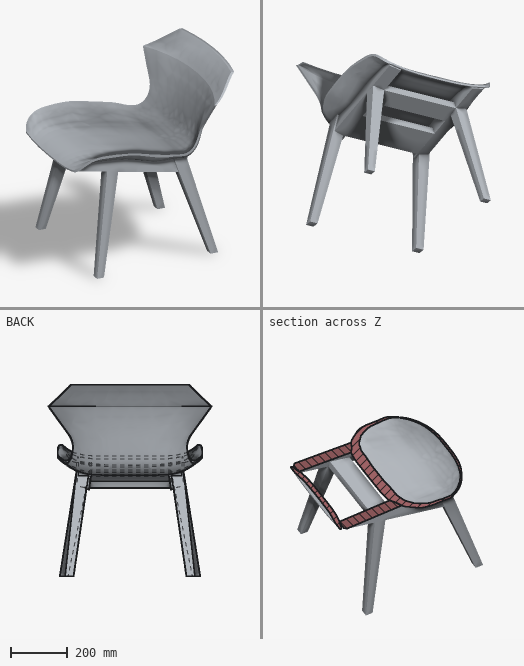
import cadquery as cq
import math

WIDTH = 573.32
DEPTH = 647.82
HEIGHT = 673.53
FRONT = -DEPTH / 2
BACK = DEPTH / 2

SHELL_THICKNESS = 9.0
TOP_HALF_WIDTH = 208.0
TOP_EDGE_THICKNESS = 12.0
LIP_THICKNESS = 6.0
EAR_HEIGHT = 597.0
SECTION_SAMPLES = 12

SEAT_LIP = (186.0, (FRONT, 407.0), (FRONT, 391.0), 3.0, LIP_THICKNESS)
EAR = (WIDTH / 2, (182.0, EAR_HEIGHT), (252.0, EAR_HEIGHT), 2.2, SHELL_THICKNESS)
BACK_TOP = (TOP_HALF_WIDTH, (286.0, HEIGHT), (BACK - TOP_EDGE_THICKNESS, HEIGHT), 2.0, TOP_EDGE_THICKNESS)

SEAT_STATIONS = [
    SEAT_LIP,
    (212.0, (-310.0, 424.0), (-310.0, 403.0), 3.5, 12.0),
    (228.0, (-285.0, 446.0), (-285.0, 415.0), 4.5, 10.0),
    (237.0, (-240.0, 461.0), (-240.0, 423.0), 6.0, SHELL_THICKNESS),
    (246.0, (-170.0, 462.0), (-170.0, 418.0), 6.0, SHELL_THICKNESS),
    (254.0, (-70.0, 447.0), (-70.0, 399.0), 6.0, SHELL_THICKNESS),
    (253.0, (25.0, 425.0), (25.0, 381.0), 6.0, SHELL_THICKNESS),
    (237.0, (85.0, 410.0), (90.0, 370.0), 5.0, SHELL_THICKNESS),
    (213.0, (132.0, 413.0), (152.0, 366.0), 5.0, SHELL_THICKNESS),
    (203.0, (154.0, 437.0), (196.0, 389.0), 3.2, SHELL_THICKNESS),
    (201.0, (165.0, 464.0), (213.0, 430.0), 2.6, SHELL_THICKNESS),
    (224.0, (174.0, 512.0), (226.0, 504.0), 2.3, SHELL_THICKNESS),
    (246.0, (176.0, 541.0), (234.0, 538.0), 2.2, SHELL_THICKNESS),
    (268.0, (179.0, 571.0), (243.0, 570.0), 2.2, SHELL_THICKNESS),
    EAR,
]
BACK_STATIONS = [
    EAR,
    (277.0, (200.0, 606.0), (257.0, 606.0), 2.2, SHELL_THICKNESS),
    (242.0, (244.0, 639.0), (278.0, 639.0), 2.1, 11.0),
    BACK_TOP,
]

FRAME_RISE = math.radians(11.5)
FRAME_TILT = math.radians(8.5)
FRAME_OUTER_X = 188.5
FRAME_OUTER_Z = 337.5
RAIL_WIDTH = 44.5
RAIL_INNER_X = FRAME_OUTER_X - RAIL_WIDTH
RAIL_DROP = 9.0
RAIL_BLANK_HEIGHT = 150.0
RAIL_TIP_SETBACK = 8.0
RAIL_FRONT = -FRONT - RAIL_TIP_SETBACK
RAIL_REAR = -120.0
CROSSBAR_THICKNESS = 25.0
FRONT_BAR_SPAN = (112.0, 192.0)
REAR_BAR_SPAN = (-94.0, 32.0)

LEG_BLANK_TOP = 420.0
LEG_JOINT_Z = 368.0
FRONT_LEG_JOINT = (FRAME_OUTER_X, RAIL_INNER_X, -146.0, -190.0)
FRONT_LEG_FOOT = (247.0, 219.0, -230.5, -257.5)
REAR_LEG_JOINT = (FRAME_OUTER_X, RAIL_INNER_X, 122.0, 74.0)
REAR_LEG_FOOT = (228.0, 198.0, 225.5, 196.0)


def shell_section(station):
    """Closed planar outline of the shell at one station."""
    half_width, rim, middle, exponent, thickness = station
    lift = math.dist(rim, middle)
    along = ((rim[0] - middle[0]) / lift, (rim[1] - middle[1]) / lift)

    def point(fraction, drop):
        rise = lift * abs(fraction) ** exponent - drop
        return cq.Vector(half_width * fraction, middle[0] + along[0] * rise, middle[1] + along[1] * rise)

    fractions = [2 * i / SECTION_SAMPLES - 1 for i in range(SECTION_SAMPLES + 1)]
    inner = [point(f, 0) for f in fractions]
    outer = [point(f, thickness) for f in fractions]
    return cq.Wire.assembleEdges([
        cq.Edge.makeSpline(inner),
        cq.Edge.makeLine(inner[-1], outer[-1]),
        cq.Edge.makeSpline(outer[::-1]),
        cq.Edge.makeLine(outer[0], inner[0]),
    ])


def make_shell():
    """Seat and upper back lofts, joined into one skin across the crease between the ears."""
    skin = []
    for stations in (SEAT_STATIONS, BACK_STATIONS):
        loft = cq.Solid.makeLoft([shell_section(s) for s in stations])
        skin += loft.Faces()
    outside = [f for f in skin if not is_crease(f)]
    return cq.Workplane(cq.Solid.makeSolid(cq.Shell.makeShell(outside)))


def is_crease(face):
    """True for the flat end faces where the two shell lofts meet."""
    return face.geomType() == "PLANE" and math.isclose(face.Center().z, EAR_HEIGHT, abs_tol=0.1)


def lower_piece(body, cutter):
    """Cut the body and keep the piece under the cutter."""
    return body.cut(cutter).solids("<Z")


def leg_blank(joint, foot, side):
    """Straight tapered leg, extended past its joint to LEG_BLANK_TOP."""
    stretch = LEG_BLANK_TOP / LEG_JOINT_Z
    top = [f + (j - f) * stretch for j, f in zip(joint, foot)]

    def outline(corners, z):
        outer, inner, rear, front = corners
        return cq.Wire.makePolygon([
            cq.Vector(side * outer, rear, z),
            cq.Vector(side * inner, rear, z),
            cq.Vector(side * inner, front, z),
            cq.Vector(side * outer, front, z),
        ], close=True)

    return cq.Workplane(cq.Solid.makeLoft([outline(foot, 0), outline(top, LEG_BLANK_TOP)], True))


def frame_plane(distance):
    """Plane square to the rising frame; local Y is up, local Z is forward."""
    forward = cq.Vector(0, -math.cos(FRAME_RISE), math.sin(FRAME_RISE))
    origin = cq.Vector(0, 0, FRAME_OUTER_Z) + forward * distance
    return cq.Workplane(cq.Plane(origin=origin, xDir=(1, 0, 0), normal=forward))


def rail_blank(side):
    lean = RAIL_BLANK_HEIGHT * math.tan(FRAME_TILT)
    outline = [
        (side * FRAME_OUTER_X, 0),
        (side * RAIL_INNER_X, -RAIL_DROP),
        (side * (RAIL_INNER_X - lean), RAIL_BLANK_HEIGHT - RAIL_DROP),
        (side * (FRAME_OUTER_X - lean), RAIL_BLANK_HEIGHT),
    ]
    length = RAIL_FRONT - RAIL_REAR
    return frame_plane(RAIL_REAR).polyline(outline).close().extrude(length)


def space_above_rail(side):
    """Everything on one side of the chair that lies above the sloping underside of the rails."""
    slope = RAIL_DROP / RAIL_WIDTH
    reach = 2 * FRAME_OUTER_X
    outline = [
        (0, -FRAME_OUTER_X * slope),
        (side * reach, (reach - FRAME_OUTER_X) * slope),
        (side * reach, RAIL_BLANK_HEIGHT),
        (0, RAIL_BLANK_HEIGHT),
    ]
    return frame_plane(RAIL_REAR).polyline(outline).close().extrude(RAIL_FRONT - RAIL_REAR)


def crossbar(span):
    """Flat bar that fills the gap between the two leaning rails."""
    lean = CROSSBAR_THICKNESS * math.tan(FRAME_TILT)
    top = CROSSBAR_THICKNESS - RAIL_DROP
    outline = [
        (-RAIL_INNER_X, -RAIL_DROP),
        (RAIL_INNER_X, -RAIL_DROP),
        (RAIL_INNER_X - lean, top),
        (lean - RAIL_INNER_X, top),
    ]
    return frame_plane(span[0]).polyline(outline).close().extrude(span[1] - span[0])


shell = make_shell()

frame = crossbar(FRONT_BAR_SPAN)
rear_crossbar = crossbar(REAR_BAR_SPAN)

legs = []
for side in (-1, 1):
    rear_blank = leg_blank(REAR_LEG_JOINT, REAR_LEG_FOOT, side)
    front_blank = leg_blank(FRONT_LEG_JOINT, FRONT_LEG_FOOT, side)
    legs.append(lower_piece(rear_blank, shell))
    legs.append(lower_piece(front_blank, space_above_rail(side)))

    rail = lower_piece(rail_blank(side), shell)
    rail = rail.cut(rear_blank).solids("<Y")
    frame = frame.union(rail)
    rear_crossbar = rear_crossbar.cut(rear_blank)

result = cq.Compound.makeCompound([
    shell.val(),
    frame.val(),
    rear_crossbar.val(),
    *[leg.val() for leg in legs],
])